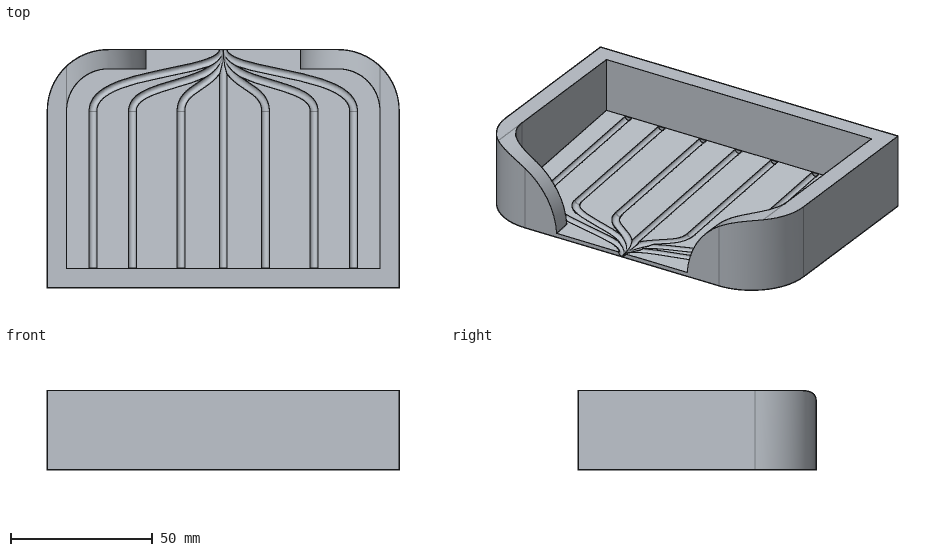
import cadquery as cq
import math

length = 124.0
depth = 84.0
height = 28.0
wall = 6.8
floor_rear = 1.6
floor_front = 8.3
corner_radius = 21.6
half_length = length / 2
inner_half_length = half_length - wall
inner_radius = corner_radius - wall
floor_slope = math.degrees(math.atan2(floor_front - floor_rear, depth))

shoulder_radius = height
opening_half_width = inner_half_length - shoulder_radius

groove_radius = 1.4
bend_start = 62.1
run_out = 1.2
curved_grooves = [
    (14.9, 13.6, 9.9),
    (32.0, 13.6, 11.2),
    (45.9, 9.3, 14.9),
]


def rounded_block(half_width, front, back, radius, bottom):
    """Block up to the tray top with both rear vertical edges rounded."""
    return (
        cq.Workplane("XY", origin=(0, 0, bottom))
        .moveTo(-half_width, front)
        .lineTo(half_width, front)
        .lineTo(half_width, back - radius)
        .radiusArc((half_width - radius, back), -radius)
        .lineTo(radius - half_width, back)
        .radiusArc((-half_width, back - radius), -radius)
        .close()
        .extrude(height - bottom)
    )


def floor_wedge():
    """Everything under the floor, which slopes down to the rear edge."""
    return (
        cq.Workplane("YZ", origin=(-half_length, 0, 0))
        .polyline([(0, 0), (depth, 0), (depth, floor_rear), (0, floor_front)])
        .close()
        .extrude(length)
    )


def rear_opening():
    """Gap through the rear wall between the two rounded shoulders."""
    return (
        cq.Workplane("XZ", origin=(0, depth, 0))
        .moveTo(-opening_half_width, 0)
        .lineTo(opening_half_width, 0)
        .radiusArc((inner_half_length, height), shoulder_radius)
        .lineTo(-inner_half_length, height)
        .radiusArc((-opening_half_width, 0), shoulder_radius)
        .close()
        .extrude(corner_radius)
    )


def sweep_groove(path):
    """Sweep the section along a level path, then tilt it about the rear floor edge."""
    profile = cq.Workplane("XZ", origin=(0, depth + run_out, floor_rear))
    groove = profile.circle(groove_radius).sweep(path)
    return groove.rotate((0, depth, floor_rear), (1, depth, floor_rear), -floor_slope)


def groove_start():
    """Path start just behind the rear edge, on the centre line."""
    return cq.Workplane("XY", origin=(0, 0, floor_rear)).moveTo(0, depth + run_out)


def straight_groove():
    return sweep_groove(groove_start().lineTo(0, wall))


def curved_groove(offset, outlet_handle, bend_handle):
    """Groove from the rear centre, curving out to a straight run parallel to Y."""
    path = (
        groove_start()
        .lineTo(0, depth)
        .bezier(
            [
                (0, depth - outlet_handle),
                (offset, bend_start + bend_handle),
                (offset, bend_start),
            ],
            includeCurrent=True,
        )
        .lineTo(offset, wall)
    )
    return sweep_groove(path)


body = rounded_block(half_length, 0, depth, corner_radius, 0)
cavity = rounded_block(inner_half_length, wall, depth - wall, inner_radius, 0)
result = body.cut(cavity.union(rear_opening()).cut(floor_wedge()))

result = result.cut(straight_groove())
for side in (-1, 1):
    for offset, outlet_handle, bend_handle in curved_grooves:
        result = result.cut(curved_groove(side * offset, outlet_handle, bend_handle))